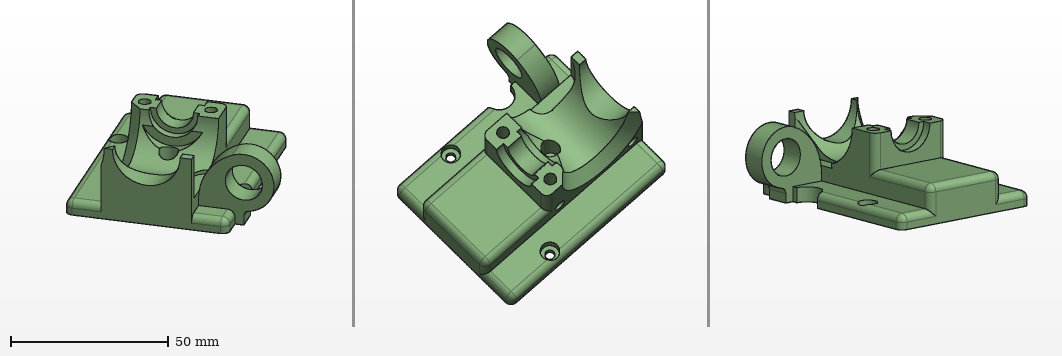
import cadquery as cq
import math


length = 69.0
overall_width = 67.0
base_width = 54.0
base_height = 5.0
block_width = 30.0
block_height = 13.0
tower_length = 42.0
total_height = 25.0
edge_radius = 2.5
block_side = block_width / 2
base_side = base_width / 2

front_bore_dia = 22.35
front_bore_end = 30.1
seat_dia = 16.2
shaft_dia = 12.2
shaft_start = 33.0
shaft_end = 39.0

cross_bore_radius = 14.1
cross_bore_y = 17.0
cross_bore_chamfer = 4.0

screw_dia = 3.2
screw_head_dia = 6.2
screw_seat_z = 2.0
side_screw_x = 23.0
side_screw_y = 48.0
center_screw_y = 26.0
tapped_dia = 4.0
tapped_depth = 10.0
cap_hole_x = 11.0
cap_hole_y = 36.5
cover_hole_rear_y = 36.0
cover_hole_front_y = 4.3
cover_hole_z = 9.1

lug_front = 8.0
lug_thickness = 8.0
lug_back = lug_front + lug_thickness
ring_radius = 10.0
ring_bore_dia = 12.2
ring_x = overall_width - base_side - ring_radius
ring_z = total_height - ring_radius
lug_outer_arc_radius = 18.0
lug_foot_fillet = 2.0

clearance_radius = 5.0
clearance_floor_z = 10.0
notch_y = 23.0


def box(width, front, back, height):
    """Box centred on X that stands on Z = 0."""
    return cq.Workplane("XY").box(width, back - front, height, (True, False, False)).translate((0, front, 0))


def cylinder_y(diameter, start, end):
    """Cylinder along Y on the bearing axis."""
    circle = cq.Workplane("XZ", origin=(0, start, total_height)).circle(diameter / 2)
    return circle.extrude(start - end)


def make_body():
    base = box(base_width, 0, length, base_height)
    base = base.edges("|Z").fillet(edge_radius).faces(">Z").edges().fillet(edge_radius)
    block = box(block_width, -length, length, block_height)
    block = block.edges("|Z and >Y").fillet(edge_radius).faces(">Z").edges().fillet(edge_radius)
    tower = box(block_width, 0, tower_length, total_height)
    tower = tower.edges("|Z and >Y").fillet(edge_radius)
    front_waste = box(2 * base_width, -2 * length, 0, total_height)
    return base.union(block.cut(front_waste)).union(tower)


def make_bearing_seat():
    seat = cylinder_y(front_bore_dia, 0, front_bore_end)
    seat = seat.union(cylinder_y(seat_dia, front_bore_end, shaft_start))
    seat = seat.union(cylinder_y(shaft_dia, shaft_start, shaft_end))
    return seat.union(cylinder_y(seat_dia, shaft_end, tower_length))


def make_cross_bore():
    cone_radius = cross_bore_radius + cross_bore_chamfer
    profile = (
        cq.Workplane("XY", origin=(0, cross_bore_y, total_height))
        .moveTo(-block_side, 0)
        .lineTo(-block_side, cone_radius)
        .lineTo(-block_side + cross_bore_chamfer, cross_bore_radius)
        .lineTo(block_side, cross_bore_radius)
        .lineTo(block_side, 0)
        .close()
    )
    return profile.revolve(360, (0, 0, 0), (1, 0, 0))


def make_lug_clearance():
    slot_length = lug_thickness + 2 * clearance_radius
    center_y = (lug_front + lug_back) / 2
    slot = cq.Workplane("XY", origin=(block_side, center_y, clearance_floor_z))
    return slot.slot2D(slot_length, 2 * clearance_radius, 90).extrude(total_height)


def make_square_edge():
    """Unrounded stretch of the base edge between the lug and the notch."""
    edge = cq.Workplane("XY", origin=(base_side - edge_radius, lug_back, 0))
    return edge.box(edge_radius, notch_y - lug_back, base_height, False)


def make_base_notch():
    return cq.Workplane("XY", origin=(base_side, notch_y, 0)).circle(clearance_radius).extrude(base_height)


def make_screw_holes():
    points = [(-side_screw_x, side_screw_y), (side_screw_x, side_screw_y), (0, center_screw_y)]
    holes = cq.Workplane("XY").pushPoints(points).circle(screw_dia / 2).extrude(total_height)
    seats = cq.Workplane("XY", origin=(0, 0, screw_seat_z)).pushPoints(points)
    return holes.union(seats.circle(screw_head_dia / 2).extrude(total_height))


def make_tapped_holes():
    cap_points = [(-cap_hole_x, cap_hole_y), (cap_hole_x, cap_hole_y)]
    cap = cq.Workplane("XY", origin=(0, 0, total_height)).pushPoints(cap_points)
    cap = cap.circle(tapped_dia / 2).extrude(-tapped_depth)
    cover_points = [(cover_hole_front_y, cover_hole_z), (cover_hole_rear_y, cover_hole_z)]
    cover = cq.Workplane("YZ", origin=(-block_side, 0, 0)).pushPoints(cover_points)
    return cap.union(cover.circle(tapped_dia / 2).extrude(tapped_depth))


def make_lug():
    arc_x = block_side + lug_outer_arc_radius
    center_gap = lug_outer_arc_radius - ring_radius
    arc_z = ring_z - math.sqrt(center_gap**2 - (arc_x - ring_x) ** 2)
    toward_ring = math.atan2(ring_z - arc_z, ring_x - arc_x)
    arc_middle = (math.pi + toward_ring) / 2

    def on_outer_arc(angle):
        return (
            arc_x + lug_outer_arc_radius * math.cos(angle),
            arc_z + lug_outer_arc_radius * math.sin(angle),
        )

    foot_x = ring_x + lug_foot_fillet
    foot_z = ring_z - math.sqrt((ring_radius + lug_foot_fillet) ** 2 - lug_foot_fillet**2)
    toward_foot = math.atan2(foot_z - ring_z, foot_x - ring_x)
    foot_middle = math.pi + toward_foot / 2

    ring_end = (ring_x + ring_radius * math.cos(toward_foot), ring_z + ring_radius * math.sin(toward_foot))
    foot_mid_point = (
        foot_x + lug_foot_fillet * math.cos(foot_middle),
        foot_z + lug_foot_fillet * math.sin(foot_middle),
    )
    outline = (
        cq.Workplane("XZ", origin=(0, lug_back, 0))
        .moveTo(block_side, 0)
        .lineTo(block_side, arc_z)
        .threePointArc(on_outer_arc(arc_middle), on_outer_arc(toward_ring))
        .threePointArc((ring_x + ring_radius, ring_z), ring_end)
        .threePointArc(foot_mid_point, (ring_x, foot_z))
        .lineTo(ring_x, 0)
        .close()
    )
    lug = outline.extrude(lug_thickness)
    bore = cq.Workplane("XZ", origin=(ring_x, lug_back, ring_z)).circle(ring_bore_dia / 2)
    return lug.cut(bore.extrude(lug_thickness))


body = make_body().union(make_square_edge())
body = body.cut(make_bearing_seat()).cut(make_cross_bore())
body = body.cut(make_lug_clearance()).cut(make_base_notch())
body = body.cut(make_screw_holes()).cut(make_tapped_holes())
result = body.union(make_lug())